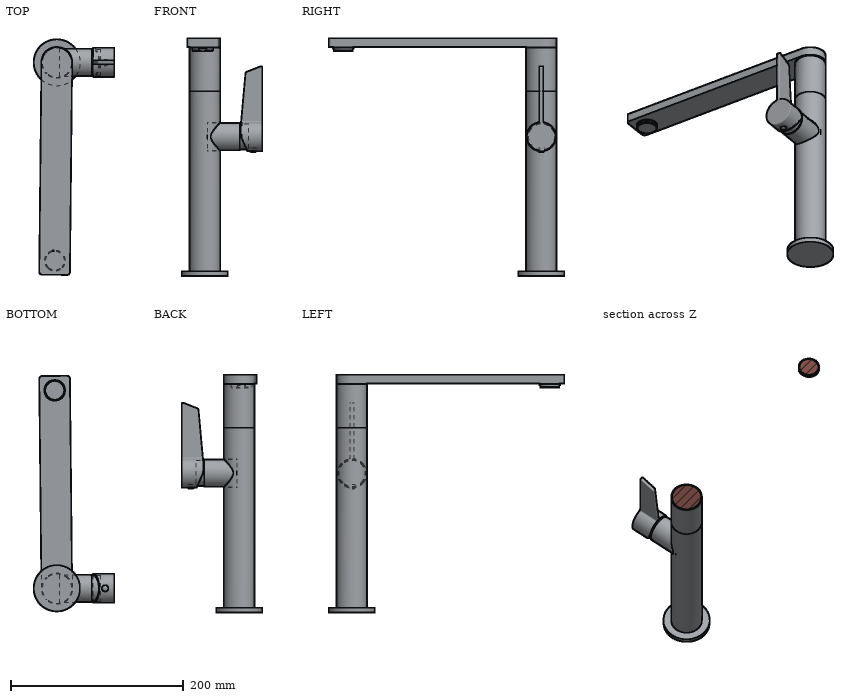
import cadquery as cq
import math

TOTAL_HEIGHT = 276.5

BASE_DIAMETER = 54.0
BASE_THICKNESS = 5.8

COLUMN_DIAMETER = 36.0
SWIVEL_SPLIT_Z = 214.5
NECK_GAP = 0.8
NECK_DIAMETER = COLUMN_DIAMETER - 2 * NECK_GAP

SPOUT_THICKNESS = 10.5
SPOUT_LENGTH = 247.0
SPOUT_SWING = -0.6
SPOUT_CORNER_RADIUS = 3.5
SPOUT_BOTTOM_Z = TOTAL_HEIGHT - SPOUT_THICKNESS

AERATOR_REACH = 230.0
AERATOR_DIAMETER = 24.0
AERATOR_HEIGHT = 5.0
AERATOR_NECK_HEIGHT = 0.8
AERATOR_CHAMFER = 1.0
AERATOR_ACROSS_FLATS = 22.5
AERATOR_NECK_DIAMETER = AERATOR_ACROSS_FLATS
FLAT_TOP_DROP = 1.7

ARM_AXIS_Z = 162.0
ARM_DIAMETER = 32.0
ARM_SOCKET_DIAMETER = 33.2
ARM_START_X = 2.8
ARM_END_X = 40.5

CARTRIDGE_DIAMETER = 30.5
CARTRIDGE_END_X = 50.3

HANDLE_DIAMETER = 34.0
HANDLE_RADIUS = HANDLE_DIAMETER / 2
HANDLE_START_X = 42.0
HANDLE_END_X = 67.0
HANDLE_BOTTOM_Z = ARM_AXIS_Z - HANDLE_RADIUS
RELIEF_LENGTH = 7.5
END_ROUND = 0.8

LEVER_THICKNESS = 4.5
LEVER_TIP_X = 47.3
LEVER_LOW_Z = 237.0
LEVER_HIGH_Z = 244.7
LEVER_LOW_RADIUS = 3.3
LEVER_HIGH_RADIUS = 1.7
LEVER_FOOT_RADIUS = 1.7

PLUG_X = 56.0
PLUG_DIAMETER = 7.5
PLUG_DEPTH = 4.1
DOME_HEIGHT = 1.5


def cylinder_up(diameter, bottom, top):
    """Cylinder on the column axis between two heights."""
    return cq.Workplane("XY", origin=(0, 0, bottom)).circle(diameter / 2).extrude(top - bottom)


def cylinder_along_arm(diameter, start, end):
    """Cylinder on the arm axis between two X positions."""
    return cq.Workplane("YZ", origin=(start, 0, ARM_AXIS_Z)).circle(diameter / 2).extrude(end - start)


def swing(shape):
    """Turn a spout feature about the column axis to the spout's resting angle."""
    return shape.rotate((0, 0, 0), (0, 0, 1), SPOUT_SWING)


def make_base():
    return cylinder_up(BASE_DIAMETER, 0, BASE_THICKNESS)


def make_column():
    """Lower column with a flat-bottomed side socket, slightly wider than the arm it holds."""
    column = cylinder_up(COLUMN_DIAMETER, BASE_THICKNESS, SWIVEL_SPLIT_Z)
    return column.cut(cylinder_along_arm(ARM_SOCKET_DIAMETER, ARM_START_X, COLUMN_DIAMETER))


def make_arm():
    """Arm standing on the floor of the column socket."""
    return cylinder_along_arm(ARM_DIAMETER, ARM_START_X, ARM_END_X)


def make_swivel():
    """Upper column section with a thinner neck just below the spout."""
    sleeve = cylinder_up(COLUMN_DIAMETER, SWIVEL_SPLIT_Z, SPOUT_BOTTOM_Z - NECK_GAP)
    neck = cylinder_up(NECK_DIAMETER, SPOUT_BOTTOM_Z - NECK_GAP, SPOUT_BOTTOM_Z)
    return sleeve.union(neck)


def make_spout():
    """Flat bar, round over the column and square with rounded corners at the outlet."""
    half_width = COLUMN_DIAMETER / 2
    bar = (
        cq.Workplane("XY", origin=(0, 0, SPOUT_BOTTOM_Z))
        .moveTo(half_width, 0)
        .threePointArc((0, half_width), (-half_width, 0))
        .lineTo(-half_width, -SPOUT_LENGTH)
        .lineTo(half_width, -SPOUT_LENGTH)
        .close()
        .extrude(SPOUT_THICKNESS)
    )
    return swing(bar.faces("<Y").edges("|Z").fillet(SPOUT_CORNER_RADIUS))


def make_aerator():
    """Round outlet with a short neck, a bottom chamfer and two flats below its rim."""
    bottom = SPOUT_BOTTOM_Z - AERATOR_HEIGHT
    flat_top = SPOUT_BOTTOM_Z - FLAT_TOP_DROP
    rim_top = SPOUT_BOTTOM_Z - AERATOR_NECK_HEIGHT
    outlet = cylinder_up(AERATOR_DIAMETER, bottom, rim_top).faces("<Z").chamfer(AERATOR_CHAMFER)
    flats_slab = (
        cq.Workplane("XY", origin=(0, 0, bottom))
        .rect(AERATOR_DIAMETER, AERATOR_ACROSS_FLATS)
        .extrude(flat_top - bottom)
    )
    full_rim = cylinder_up(AERATOR_DIAMETER, flat_top, rim_top)
    neck = cylinder_up(AERATOR_NECK_DIAMETER, rim_top, SPOUT_BOTTOM_Z)
    aerator = outlet.intersect(flats_slab.union(full_rim)).union(neck)
    return swing(aerator.translate((0, -AERATOR_REACH, 0)))


def make_cartridge():
    return cylinder_along_arm(CARTRIDGE_DIAMETER, ARM_END_X, CARTRIDGE_END_X)


def make_lever():
    """Thin blade rising from the handle, with a sloping rounded tip."""
    blade = (
        cq.Workplane("XZ", origin=(0, LEVER_THICKNESS / 2, 0))
        .moveTo(HANDLE_START_X, ARM_AXIS_Z)
        .lineTo(HANDLE_START_X, ARM_AXIS_Z + HANDLE_RADIUS)
        .lineTo(LEVER_TIP_X, LEVER_LOW_Z)
        .lineTo(HANDLE_END_X, LEVER_HIGH_Z)
        .lineTo(HANDLE_END_X, ARM_AXIS_Z)
        .close()
        .extrude(LEVER_THICKNESS)
    )
    low_corner = cq.selectors.NearestToPointSelector((LEVER_TIP_X, 0, LEVER_LOW_Z))
    high_corner = cq.selectors.NearestToPointSelector((HANDLE_END_X, 0, LEVER_HIGH_Z))
    blade = blade.edges("|Y").edges(low_corner).fillet(LEVER_LOW_RADIUS)
    return blade.edges("|Y").edges(high_corner).fillet(LEVER_HIGH_RADIUS)


def make_plug():
    """Short radial plug whose domed end stands proud of the handle."""
    radius = PLUG_DIAMETER / 2
    dome_radius = (radius**2 + DOME_HEIGHT**2) / (2 * DOME_HEIGHT)
    mid_angle = math.asin(radius / dome_radius) / 2
    dome_mid = (
        dome_radius * math.sin(mid_angle),
        HANDLE_BOTTOM_Z - DOME_HEIGHT + dome_radius * (1 - math.cos(mid_angle)),
    )
    return (
        cq.Workplane("XZ", origin=(PLUG_X, 0, 0))
        .moveTo(0, HANDLE_BOTTOM_Z + PLUG_DEPTH)
        .lineTo(radius, HANDLE_BOTTOM_Z + PLUG_DEPTH)
        .lineTo(radius, HANDLE_BOTTOM_Z)
        .threePointArc(dome_mid, (0, HANDLE_BOTTOM_Z - DOME_HEIGHT))
        .close()
        .revolve(360, (0, 0, 0), (0, 1, 0))
    )


def make_handle(cartridge, plug):
    """Barrel with lever blade, sloping relief below, and recesses for cartridge and plug."""
    barrel = cylinder_along_arm(HANDLE_DIAMETER, HANDLE_START_X, HANDLE_END_X)
    handle = barrel.union(make_lever())
    foot_z = ARM_AXIS_Z + math.sqrt(HANDLE_RADIUS**2 - (LEVER_THICKNESS / 2) ** 2)
    foot_region = cq.selectors.BoxSelector(
        (HANDLE_START_X, -LEVER_THICKNESS, foot_z - END_ROUND),
        (HANDLE_END_X, LEVER_THICKNESS, foot_z + END_ROUND),
    )
    handle = handle.edges("|X").edges(foot_region).fillet(LEVER_FOOT_RADIUS)
    handle = handle.faces(">X").edges().fillet(END_ROUND)
    relief = (
        cq.Workplane("XZ")
        .moveTo(HANDLE_START_X, ARM_AXIS_Z)
        .lineTo(HANDLE_START_X + RELIEF_LENGTH, HANDLE_BOTTOM_Z)
        .lineTo(HANDLE_START_X, HANDLE_BOTTOM_Z)
        .close()
        .extrude(HANDLE_RADIUS, both=True)
    )
    return handle.cut(relief).cut(cartridge).cut(plug)


cartridge = make_cartridge()
plug = make_plug()

result = cq.Compound.makeCompound(
    [
        make_base().val(),
        make_column().val(),
        make_swivel().val(),
        make_spout().val(),
        make_aerator().val(),
        make_arm().val(),
        cartridge.val(),
        make_handle(cartridge, plug).val(),
        plug.val(),
    ]
)